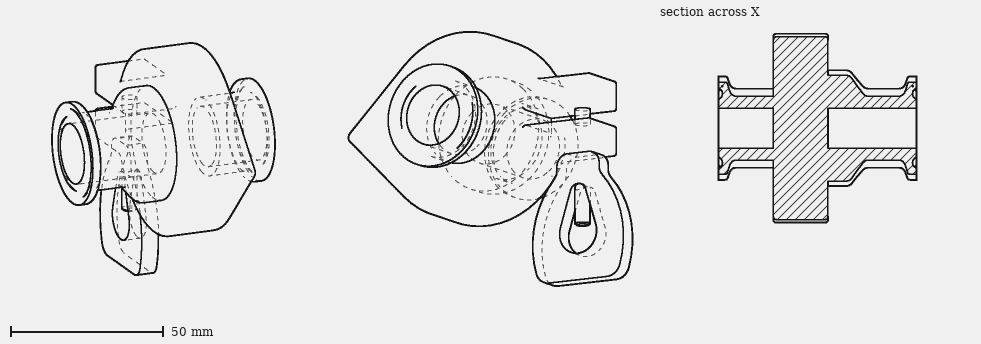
import cadquery as cq
import math


CLAMP_RADIUS = 31.0
CLAMP_WIDTH = 18.0
EDGE_FILLET = 1.0
NOSE_HALF_ANGLE = math.radians(45)
NOSE_TIP_FILLET = 2.0
ARM_END_X = -49.0
ARM_HALF_HEIGHT = 12.5
ARM_ROOT_FILLET = 2.0
SLOT_HALF_HEIGHT = 2.5
SLOT_END_X = -24.3

BORE_RADIUS = 10.0
TUBE_RADIUS = 13.0
FRONT_END_Y = -38.0
BACK_END_Y = 27.0
RIM_RADIUS = 17.0
RIM_THICKNESS = 2.85
RIM_FLANK_ANGLE = math.radians(20)
RIM_FILLET = 1.0
RIM_ROOT_FILLET = 2.0

GROOVE_CENTRE_RADIUS = 13.65
GROOVE_RADIUS = 1.3
GROOVE_LIP_FILLET = 0.9

HOUSING_RADIUS = 19.0
HOUSING_STRAIGHT = 7.0
HOUSING_CONE_LENGTH = 5.0
HOUSING_FILLET = 2.0

PIN_X = -41.0
PIN_RADIUS = 2.5
PIN_BOTTOM_Z = -36.2
PIN_TOP_Z = ARM_HALF_HEIGHT / 2
PIN_CHAMFER = 0.5

WING_THICKNESS = 6.0
WING_BOTTOM_Z = -55.0
WING_HALF_WIDTH = 17.25
WING_WIDEST_Z = -42.0
WING_SIDE_RADIUS = 32.0
WING_BOTTOM_FILLET = 5.0
NECK_HALF_WIDTH = 8.0
NECK_TOP_FILLET = 4.0
NECK_ROOT_FILLET = 4.0
EYE_LARGE_RADIUS = 7.0
EYE_LARGE_Z = -39.1
EYE_SMALL_RADIUS = 3.0
EYE_SMALL_Z = -25.8


def extrude_centred(sketch, width):
    """Extrude an XZ outline by width, centred on Y = 0."""
    return sketch.extrude(width / 2, both=True)


def make_clamp():
    """Drop-shaped ring with a pointed nose and two slotted arms, rounded on all outer edges."""
    tangent_x = CLAMP_RADIUS * math.sin(NOSE_HALF_ANGLE)
    tangent_z = CLAMP_RADIUS * math.cos(NOSE_HALF_ANGLE)
    apex_x = CLAMP_RADIUS / math.sin(NOSE_HALF_ANGLE)
    root_x = -math.sqrt(CLAMP_RADIUS**2 - ARM_HALF_HEIGHT**2)

    outline = (
        cq.Workplane("XZ")
        .moveTo(ARM_END_X, ARM_HALF_HEIGHT)
        .lineTo(root_x, ARM_HALF_HEIGHT)
        .threePointArc((0, CLAMP_RADIUS), (tangent_x, tangent_z))
        .lineTo(apex_x, 0)
        .lineTo(tangent_x, -tangent_z)
        .threePointArc((0, -CLAMP_RADIUS), (root_x, -ARM_HALF_HEIGHT))
        .lineTo(ARM_END_X, -ARM_HALF_HEIGHT)
        .lineTo(ARM_END_X, -SLOT_HALF_HEIGHT)
        .lineTo(SLOT_END_X, -SLOT_HALF_HEIGHT)
        .lineTo(SLOT_END_X, SLOT_HALF_HEIGHT)
        .lineTo(ARM_END_X, SLOT_HALF_HEIGHT)
        .close()
    )
    clamp = extrude_centred(outline, CLAMP_WIDTH)
    clamp = clamp.edges(cq.selectors.NearestToPointSelector((apex_x, 0, 0))).fillet(NOSE_TIP_FILLET)
    for side in (1, -1):
        root = cq.selectors.NearestToPointSelector((root_x, 0, side * ARM_HALF_HEIGHT))
        clamp = clamp.edges(root).fillet(ARM_ROOT_FILLET)
    return clamp.faces("<X or <Y or >Y").edges().fillet(EDGE_FILLET)


def revolve_about_flow_axis(profile):
    """Revolve a closed XY profile a full turn about the Y axis."""
    return profile.revolve(360, (0, 0, 0), (0, 1, 0))


def fillet_circles(body, y, radius):
    """Fillet every circular edge centred on the flow axis at the given y."""
    near = 0.01
    at_y = cq.selectors.BoxSelector((-near, y - near, -near), (near, y + near, near))
    return body.edges(at_y).fillet(radius)


def make_tube(end_y):
    """Solid tube from the clamp centre out to end_y, with a grooved ferrule rim at its end."""
    inward = -math.copysign(1, end_y)
    rim_y = end_y + inward * RIM_THICKNESS
    flank_y = rim_y + inward * (RIM_RADIUS - TUBE_RADIUS) * math.tan(RIM_FLANK_ANGLE)
    profile = (
        cq.Workplane("XY")
        .lineTo(TUBE_RADIUS, 0)
        .lineTo(TUBE_RADIUS, flank_y)
        .lineTo(RIM_RADIUS, rim_y)
        .lineTo(RIM_RADIUS, end_y)
        .lineTo(0, end_y)
        .close()
    )
    tube = revolve_about_flow_axis(profile)
    tube = fillet_circles(tube, flank_y, RIM_ROOT_FILLET)
    tube = fillet_circles(tube, rim_y, RIM_FILLET)
    return tube.cut(make_groove(end_y))


def make_groove(end_y):
    """Ring cutter for the gasket groove: a round bottom that blends into rounded lips at the face."""
    inward = -math.copysign(1, end_y)
    lip_distance = GROOVE_RADIUS + GROOVE_LIP_FILLET
    half_width = math.sqrt(lip_distance**2 - GROOVE_LIP_FILLET**2)
    blend_offset = half_width * GROOVE_RADIUS / lip_distance
    blend_depth = GROOVE_LIP_FILLET * GROOVE_RADIUS / lip_distance

    half_turn = math.acos(GROOVE_LIP_FILLET / lip_distance) / 2
    lip_mid_offset = half_width - GROOVE_LIP_FILLET * math.sin(half_turn)
    lip_mid_depth = GROOVE_LIP_FILLET * (1 - math.cos(half_turn))

    def point(offset, depth):
        return (GROOVE_CENTRE_RADIUS + offset, end_y + inward * depth)

    profile = (
        cq.Workplane("XY")
        .moveTo(*point(-half_width, 0))
        .threePointArc(point(-lip_mid_offset, lip_mid_depth), point(-blend_offset, blend_depth))
        .threePointArc(point(0, GROOVE_RADIUS), point(blend_offset, blend_depth))
        .threePointArc(point(lip_mid_offset, lip_mid_depth), point(half_width, 0))
        .close()
    )
    return revolve_about_flow_axis(profile)


def make_housing():
    """Wider cylinder in front of the clamp that tapers down to the front tube."""
    shoulder_y = -CLAMP_WIDTH / 2 - HOUSING_STRAIGHT
    cone_end_y = shoulder_y - HOUSING_CONE_LENGTH
    tube_y = cone_end_y - HOUSING_FILLET
    profile = (
        cq.Workplane("XY")
        .lineTo(HOUSING_RADIUS, 0)
        .lineTo(HOUSING_RADIUS, shoulder_y)
        .lineTo(TUBE_RADIUS, cone_end_y)
        .lineTo(TUBE_RADIUS, tube_y)
        .lineTo(0, tube_y)
        .close()
    )
    housing = revolve_about_flow_axis(profile)
    housing = fillet_circles(housing, shoulder_y, HOUSING_FILLET)
    return fillet_circles(housing, cone_end_y, HOUSING_FILLET)


def make_bore(end_y):
    """Blind bore from the tube end to the near face of the clamp."""
    clamp_face_y = math.copysign(CLAMP_WIDTH / 2, end_y)
    profile = (
        cq.Workplane("XY")
        .moveTo(0, clamp_face_y)
        .lineTo(BORE_RADIUS, clamp_face_y)
        .lineTo(BORE_RADIUS, end_y)
        .lineTo(0, end_y)
        .close()
    )
    return revolve_about_flow_axis(profile)


def make_pin():
    """Vertical screw pin crossing the slot, with a chamfered lower end."""
    pin = cq.Workplane("XY", origin=(PIN_X, 0, PIN_BOTTOM_Z)).circle(PIN_RADIUS)
    return pin.extrude(PIN_TOP_Z - PIN_BOTTOM_Z).faces("<Z").chamfer(PIN_CHAMFER)


def make_wing():
    """Flat wing handle with a narrow neck, bowed sides and a teardrop eye."""
    neck_top_z = -ARM_HALF_HEIGHT
    bow_centre_x = WING_HALF_WIDTH - WING_SIDE_RADIUS

    def bow_x(z):
        return bow_centre_x + math.sqrt(WING_SIDE_RADIUS**2 - (z - WING_WIDEST_Z) ** 2)

    bow_reach = math.sqrt(WING_SIDE_RADIUS**2 - (NECK_HALF_WIDTH - bow_centre_x) ** 2)
    neck_root_z = WING_WIDEST_Z + bow_reach
    bottom_x = bow_x(WING_BOTTOM_Z)

    outline = (
        cq.Workplane("XZ", origin=(PIN_X, 0, 0))
        .moveTo(-NECK_HALF_WIDTH, neck_top_z)
        .lineTo(NECK_HALF_WIDTH, neck_top_z)
        .lineTo(NECK_HALF_WIDTH, neck_root_z)
        .threePointArc((WING_HALF_WIDTH, WING_WIDEST_Z), (bottom_x, WING_BOTTOM_Z))
        .lineTo(-bottom_x, WING_BOTTOM_Z)
        .threePointArc((-WING_HALF_WIDTH, WING_WIDEST_Z), (-NECK_HALF_WIDTH, neck_root_z))
        .close()
    )
    wing = extrude_centred(outline, WING_THICKNESS)

    corners = (
        (NECK_HALF_WIDTH, neck_top_z, NECK_TOP_FILLET),
        (NECK_HALF_WIDTH, neck_root_z, NECK_ROOT_FILLET),
        (bottom_x, WING_BOTTOM_Z, WING_BOTTOM_FILLET),
    )
    for x, z, radius in corners:
        for side in (1, -1):
            corner = cq.selectors.NearestToPointSelector((PIN_X + side * x, 0, z))
            wing = wing.edges("|Y").edges(corner).fillet(radius)
    return wing.cut(make_eye())


def make_eye():
    """Teardrop cutter: two circles joined by their outer tangent lines."""
    lean_sin = (EYE_LARGE_RADIUS - EYE_SMALL_RADIUS) / (EYE_SMALL_Z - EYE_LARGE_Z)
    lean_cos = math.sqrt(1 - lean_sin**2)
    small_x = EYE_SMALL_RADIUS * lean_cos
    small_z = EYE_SMALL_Z + EYE_SMALL_RADIUS * lean_sin
    large_x = EYE_LARGE_RADIUS * lean_cos
    large_z = EYE_LARGE_Z + EYE_LARGE_RADIUS * lean_sin
    outline = (
        cq.Workplane("XZ", origin=(PIN_X, 0, 0))
        .moveTo(-small_x, small_z)
        .threePointArc((0, EYE_SMALL_Z + EYE_SMALL_RADIUS), (small_x, small_z))
        .lineTo(large_x, large_z)
        .threePointArc((0, EYE_LARGE_Z - EYE_LARGE_RADIUS), (-large_x, large_z))
        .close()
    )
    return extrude_centred(outline, WING_THICKNESS)


result = make_clamp().union(make_housing())
for tube_end_y in (FRONT_END_Y, BACK_END_Y):
    result = result.union(make_tube(tube_end_y)).cut(make_bore(tube_end_y))
result = result.union(make_wing()).union(make_pin())